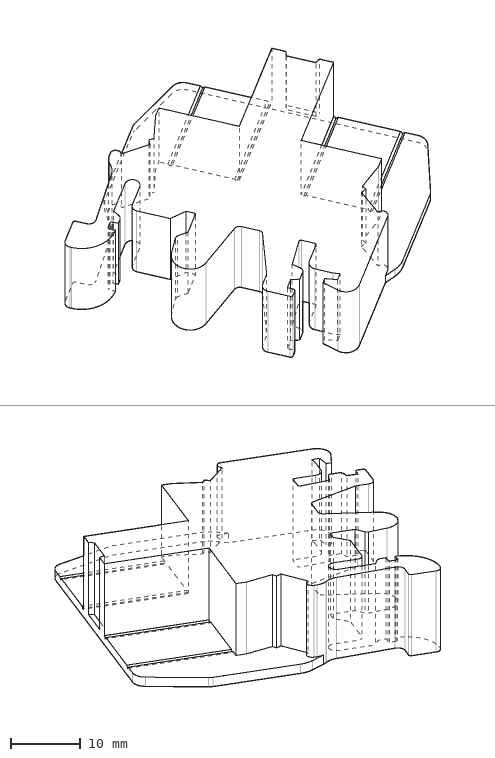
import cadquery as cq
import math

BODY_HEIGHT = 13.0
PLATE_HEIGHT = 1.5

MIN_EDGE_LENGTH = 1e-6

BACK_Y = 45.27

PLATE_HALF_WIDTH = 22.3
PLATE_BACK_HALF_WIDTH = 18.7
PLATE_SIDE_TOP_Y = 35.15
PLATE_SIDE_BOTTOM_Y = 20.5
PLATE_FRONT_HALF_WIDTH = 20.55
PLATE_FRONT_Y = 17.5
PLATE_BACK_RADIUS = 2.0
PLATE_SIDE_RADIUS = 1.9
PLATE_LOWER_RADIUS = 4.0

GROOVE_SPACING = 10.0
GROOVE_COUNT = 4
GROOVE_DEPTH = 0.34

TONGUE_HALF_WIDTH = 4.64
SHOULDER_HALF_WIDTH = 16.7
SHOULDER_Y = 29.45
SHOULDER_BOTTOM_Y = 27.85
FLANK_STEP_TOP = (15.65, 23.6)
FLANK_STEP_BOTTOM = (16.25, 23.15)
FLANK_WAIST = (15.85, 22.35)
EAR_ROOT = (19.2, 19.42)
BODY_HALF_WIDTH = 20.8
EAR_RADIUS = 0.82
EAR_CORNER_Y = 21.05

RECESS_HALF_WIDTH = 2.5
RECESS_FLOOR_HALF_WIDTH = 2.2
RECESS_DEPTH = 0.8

HOOK_TIP_X = 15.7
HOOK_TIP_TOP_Y = 4.88
HOOK_TIP_BOTTOM_Y = 4.05
HOOK_CORNER_Y = 2.55
HOOK_RADIUS = 2.03
HOOK_THROAT_X = 17.54
HOOK_THROAT_TOP_Y = 6.42
HOOK_THROAT_BOTTOM_Y = 5.25
HOOK_THROAT_RISE_X = 16.5

SLOT_RIGHT_X = 12.6
SLOT_LEFT_X = 10.03
SLOT_MOUTH_Y = 6.27
SLOT_MOUTH_RADIUS = 1.25
SLOT_CORNER_RADIUS = 0.3
LEG_ROOT_Y = 11.0

RIGHT_LEG_LEFT_X = 7.53
RIGHT_LEG_CATCH_X = 12.32
RIGHT_LEG_NOTCH_X = 11.1
RIGHT_LEG_CATCH_ROOT = (10.45, 6.15)
RIGHT_LEG_CATCH_TOP_Y = 5.72
RIGHT_LEG_CATCH_BOTTOM_Y = 3.73
RIGHT_LEG_NOTCH_TOP_Y = 3.28
RIGHT_LEG_NOTCH_BOTTOM_Y = 1.64
RIGHT_LEG_TAPER_END_Y = 3.2
RIGHT_LEG_BOTTOM_Y = 0.15
RIGHT_LEG_RADIUS = 1.1
RIGHT_LEG_CATCH_RADIUS = 0.7
RIGHT_LEG_TOE_RADIUS = 0.35

GAP_RIGHT_X = 4.48
GAP_LEFT_X = 0.67
GAP_RIGHT_RADIUS = 0.6
GAP_LEFT_RADIUS = 0.9
FOOT_BOTTOM_Y = 0.83
FOOT_RIGHT_X = -1.96
FOOT_LEFT_X = -6.46
FOOT_NECK_X = -5.66
FOOT_BULGE_X = -7.05
FOOT_BULGE_Y = 6.15
FOOT_BULGE_TOP = (-6.9, 6.6)
FOOT_NECK_BOTTOM_Y = 7.7

BLOCK_BOTTOM_Y = 9.49
BLOCK_RIGHT_X = -8.85
BLOCK_CORNER_RADIUS = 0.95
NECK_TOP_Y = 11.5
NECK_TOP_LEFT_X = -7.1
NECK_RADIUS = 0.25

SPRING_SLOT_RIGHT_X = -14.83
SPRING_SLOT_WIDTH = 2.2
SPRING_SLOT_TOP_Y = 15.14
SPRING_CATCH_X = -15.69
SPRING_CATCH_ROOT_Y = 8.46
SPRING_CATCH_SHOULDER_Y = 7.7
SPRING_CATCH_RADIUS = 1.0
SPRING_NOTCH_X = -16.87
SPRING_NOTCH_TOP_Y = 6.42
SPRING_NOTCH_TOP_BEVEL = (-16.5, 6.27)
SPRING_NOTCH_BOTTOM_BEVEL = (-16.65, 5.3)
SPRING_FOOT_TOP_Y = 5.04
SPRING_FOOT_LEFT_X = -22.0
SPRING_FOOT_OUTER_RADIUS = 1.0
SPRING_FOOT_INNER_RADIUS = SPRING_FOOT_TOP_Y
SPRING_FOOT_EDGE_RADIUS = 0.35
SPRING_FILLET_RADIUS = 1.05
SPRING_LEG_OUTER_X = -18.9
SPRING_LEG_TOP = (-19.48, 16.2)
SPRING_LEG_TOP_RADIUS = 2.9
LEFT_SIDE_CORNER_Y = 17.7
LEFT_SIDE_CORNER_RADIUS = 2.35


def mirrored(corners):
    """Mirror (x, y, radius) corners about X = 0, keeping the direction of travel."""
    return [(-x, y, radius) for x, y, radius in reversed(corners)]


def corner_path(before, corner, after, radius):
    """Points of one corner: itself if sharp, else start, middle and end of its tangent arc."""
    if radius == 0:
        return [corner]
    to_before = (before - corner).normalized()
    to_after = (after - corner).normalized()
    half_angle = to_before.getAngle(to_after) / 2
    tangent_length = radius / math.tan(half_angle)
    middle_distance = radius / math.sin(half_angle) - radius
    return [
        corner + to_before * tangent_length,
        corner + (to_before + to_after).normalized() * middle_distance,
        corner + to_after * tangent_length,
    ]


def rounded_prism(corners, height):
    """Extrude a closed outline of (x, y, radius) corners; radius 0 keeps a corner sharp."""
    points = [cq.Vector(x, y, 0) for x, y, _ in corners]
    before = points[-1:] + points[:-1]
    after = points[1:] + points[:1]
    radii = [radius for _, _, radius in corners]
    paths = [corner_path(*corner) for corner in zip(before, points, after, radii)]
    edges = []
    position = paths[-1][-1]
    for path in paths:
        if (path[0] - position).Length > MIN_EDGE_LENGTH:
            edges.append(cq.Edge.makeLine(position, path[0]))
        if len(path) > 1:
            edges.append(cq.Edge.makeThreePointArc(*path))
        position = path[-1]
    face = cq.Face.makeFromWires(cq.Wire.assembleEdges(edges))
    return cq.Workplane(cq.Solid.extrudeLinear(face, cq.Vector(0, 0, height)))


def flank_corners():
    """Right-hand side from the tongue down to the ear."""
    return [
        (TONGUE_HALF_WIDTH, BACK_Y, 0),
        (TONGUE_HALF_WIDTH, SHOULDER_Y, 0),
        (SHOULDER_HALF_WIDTH, SHOULDER_Y, 0),
        (SHOULDER_HALF_WIDTH, SHOULDER_BOTTOM_Y, 0),
        (*FLANK_STEP_TOP, 0),
        (*FLANK_STEP_BOTTOM, 0),
        (*FLANK_WAIST, 0),
        (*EAR_ROOT, 0),
        (BODY_HALF_WIDTH, EAR_CORNER_Y, EAR_RADIUS),
    ]


def hook_corners():
    return [
        (BODY_HALF_WIDTH, HOOK_CORNER_Y, HOOK_RADIUS),
        (HOOK_TIP_X, HOOK_TIP_BOTTOM_Y, 0),
        (HOOK_TIP_X, HOOK_TIP_TOP_Y, 0),
        (HOOK_THROAT_X, HOOK_THROAT_BOTTOM_Y, 0),
        (HOOK_THROAT_X, HOOK_THROAT_TOP_Y, 0),
        (HOOK_THROAT_RISE_X, SLOT_MOUTH_Y, 0),
    ]


def right_slot_corners():
    return [
        (SLOT_RIGHT_X, SLOT_MOUTH_Y, SLOT_MOUTH_RADIUS),
        (SLOT_RIGHT_X, LEG_ROOT_Y, SLOT_CORNER_RADIUS),
        (SLOT_LEFT_X, LEG_ROOT_Y, SLOT_CORNER_RADIUS),
    ]


def right_leg_corners():
    return [
        (*RIGHT_LEG_CATCH_ROOT, 0),
        (RIGHT_LEG_CATCH_X, RIGHT_LEG_CATCH_TOP_Y, RIGHT_LEG_CATCH_RADIUS),
        (RIGHT_LEG_CATCH_X, RIGHT_LEG_CATCH_BOTTOM_Y, 0),
        (RIGHT_LEG_NOTCH_X, RIGHT_LEG_NOTCH_TOP_Y, 0),
        (RIGHT_LEG_NOTCH_X, RIGHT_LEG_NOTCH_BOTTOM_Y, 0),
        (RIGHT_LEG_CATCH_X, RIGHT_LEG_NOTCH_BOTTOM_Y, RIGHT_LEG_TOE_RADIUS),
        (RIGHT_LEG_CATCH_X, RIGHT_LEG_BOTTOM_Y, RIGHT_LEG_TOE_RADIUS),
        (RIGHT_LEG_LEFT_X, RIGHT_LEG_BOTTOM_Y, RIGHT_LEG_RADIUS),
        (RIGHT_LEG_LEFT_X, RIGHT_LEG_TAPER_END_Y, 0),
    ]


def middle_foot_corners():
    """Tapered gap, rounded foot and the neck on its left side."""
    right_taper = math.atan2(GAP_LEFT_X - FOOT_RIGHT_X, LEG_ROOT_Y - FOOT_BOTTOM_Y)
    left_taper = math.atan2(FOOT_LEFT_X - FOOT_BULGE_X, FOOT_BULGE_Y - FOOT_BOTTOM_Y)
    half_turns = (math.pi / 4 - right_taper / 2, math.pi / 4 - left_taper / 2)
    tip_radius = (FOOT_RIGHT_X - FOOT_LEFT_X) / sum(math.tan(turn) for turn in half_turns)
    return [
        (GAP_RIGHT_X, LEG_ROOT_Y, GAP_RIGHT_RADIUS),
        (GAP_LEFT_X, LEG_ROOT_Y, GAP_LEFT_RADIUS),
        (FOOT_RIGHT_X, FOOT_BOTTOM_Y, tip_radius),
        (FOOT_LEFT_X, FOOT_BOTTOM_Y, tip_radius),
        (FOOT_BULGE_X, FOOT_BULGE_Y, 0),
        (*FOOT_BULGE_TOP, 0),
        (FOOT_NECK_X, FOOT_NECK_BOTTOM_Y, 0),
        (FOOT_NECK_X, NECK_TOP_Y, NECK_RADIUS),
        (NECK_TOP_LEFT_X, NECK_TOP_Y, 0),
    ]


def block_corners():
    return [
        (BLOCK_RIGHT_X, BLOCK_BOTTOM_Y, 0),
        (SPRING_SLOT_RIGHT_X, BLOCK_BOTTOM_Y, BLOCK_CORNER_RADIUS),
    ]


def spring_leg_corners():
    """Round-ended slot, catch, foot and the thin leg up to the left ear."""
    slot_left_x = SPRING_SLOT_RIGHT_X - SPRING_SLOT_WIDTH
    top_bevel_x, top_bevel_y = SPRING_NOTCH_TOP_BEVEL
    bottom_bevel_x, bottom_bevel_y = SPRING_NOTCH_BOTTOM_BEVEL
    slot_radius = SPRING_SLOT_WIDTH / 2
    return [
        (SPRING_SLOT_RIGHT_X, SPRING_SLOT_TOP_Y, slot_radius),
        (slot_left_x, SPRING_SLOT_TOP_Y, slot_radius),
        (slot_left_x, SPRING_CATCH_ROOT_Y, 0),
        (SPRING_CATCH_X, SPRING_CATCH_SHOULDER_Y, SPRING_CATCH_RADIUS),
        (SPRING_CATCH_X, SPRING_NOTCH_TOP_Y, 0),
        (top_bevel_x, SPRING_NOTCH_TOP_Y, 0),
        (SPRING_NOTCH_X, top_bevel_y, 0),
        (SPRING_NOTCH_X, bottom_bevel_y, 0),
        (bottom_bevel_x, SPRING_FOOT_TOP_Y, 0),
        (SPRING_CATCH_X, SPRING_FOOT_TOP_Y, 0),
        (SPRING_CATCH_X, 0, SPRING_FOOT_INNER_RADIUS),
        (SPRING_FOOT_LEFT_X, 0, SPRING_FOOT_OUTER_RADIUS),
        (SPRING_FOOT_LEFT_X, SPRING_FOOT_TOP_Y, SPRING_FOOT_EDGE_RADIUS),
        (SPRING_LEG_OUTER_X, SPRING_FOOT_TOP_Y, SPRING_FILLET_RADIUS),
        (*SPRING_LEG_TOP, SPRING_LEG_TOP_RADIUS),
        (-BODY_HALF_WIDTH, LEFT_SIDE_CORNER_Y, LEFT_SIDE_CORNER_RADIUS),
    ]


def make_body():
    flank = flank_corners()
    return rounded_prism(
        flank
        + hook_corners()
        + right_slot_corners()
        + right_leg_corners()
        + middle_foot_corners()
        + block_corners()
        + spring_leg_corners()
        + mirrored(flank),
        BODY_HEIGHT,
    )


def make_plate():
    right_side = [
        (PLATE_BACK_HALF_WIDTH, BACK_Y, PLATE_BACK_RADIUS),
        (PLATE_HALF_WIDTH, PLATE_SIDE_TOP_Y, PLATE_SIDE_RADIUS),
        (PLATE_HALF_WIDTH, PLATE_SIDE_BOTTOM_Y, PLATE_LOWER_RADIUS),
        (PLATE_FRONT_HALF_WIDTH, PLATE_FRONT_Y, 0),
    ]
    return rounded_prism(right_side + mirrored(right_side), PLATE_HEIGHT)


def groove_cutter(center_x):
    """V-shaped bar running from the back edge of the plate to the shoulders."""
    return (
        cq.Workplane("XZ", origin=(center_x, BACK_Y, PLATE_HEIGHT))
        .moveTo(-GROOVE_DEPTH, 0)
        .lineTo(GROOVE_DEPTH, 0)
        .lineTo(0, -GROOVE_DEPTH)
        .close()
        .extrude(BACK_Y - SHOULDER_Y)
    )


def recess_cutter():
    """Tapered notch in the back end of the tongue, above the plate."""
    floor_y = BACK_Y - RECESS_DEPTH
    return (
        cq.Workplane("XY", origin=(0, 0, PLATE_HEIGHT))
        .moveTo(-RECESS_HALF_WIDTH, BACK_Y)
        .lineTo(RECESS_HALF_WIDTH, BACK_Y)
        .lineTo(RECESS_FLOOR_HALF_WIDTH, floor_y)
        .lineTo(-RECESS_FLOOR_HALF_WIDTH, floor_y)
        .close()
        .extrude(BODY_HEIGHT - PLATE_HEIGHT)
    )


plate = make_plate()
for groove_index in range(GROOVE_COUNT):
    plate = plate.cut(groove_cutter((groove_index - (GROOVE_COUNT - 1) / 2) * GROOVE_SPACING))

body = make_body().cut(recess_cutter())
result = plate.union(body).clean()